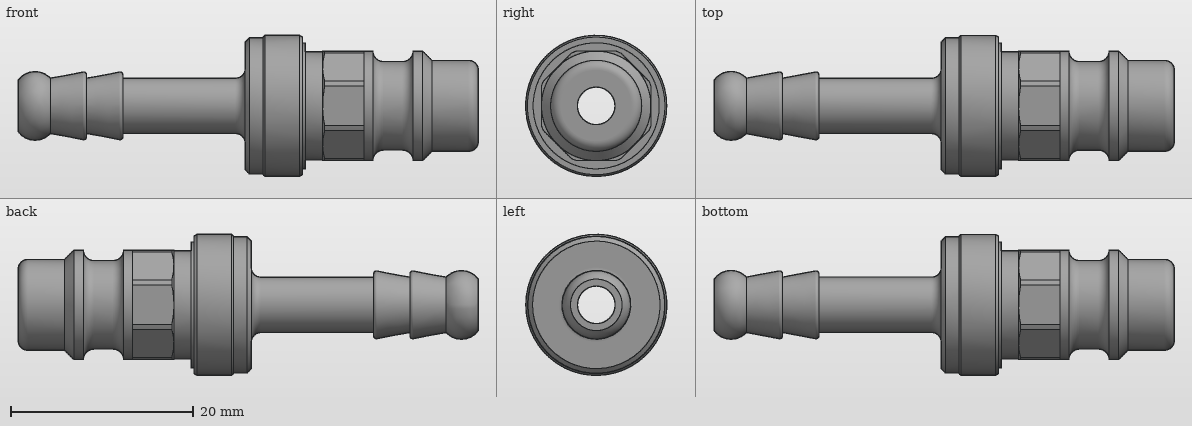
import cadquery as cq
import math

total_length = 50.5
bore_radius = 4.1 / 2
joint_x = 26.85

tube_radius = 6.1 / 2
head_tip_radius = 2.85
head_radius = 3.8
barb_radius = 3.75
head_length = 3.55
barb_pitch = 4.0
barb_count = 2
barb_rounding = 0.35
flange_x = 24.9
flange_radius = 15.0 / 2
flange_chamfer = 0.5
tube_fillet = 1.0

collar_radius = 15.5 / 2
collar_front_chamfer = 0.2
collar_back_x = 31.2
collar_back_chamfer_length = 0.35
collar_back_chamfer_depth = 0.2
shoulder_radius = 13.85 / 2
shoulder_end_x = 31.5

neck_radius = 11.9 / 2
octagon_sides = 8
octagon_start_x = 33.4
octagon_end_x = 37.95
octagon_across_flats = 12.0
octagon_corner_radius = 6.39
octagon_lead_length = 0.25

ridge_radius = 12.0 / 2
groove_radius = 9.75 / 2
groove_start_x = 38.95
ridge_start_x = 43.35
ridge_end_x = 44.4
nose_radius = 10.0 / 2
nose_end_radius = 7.85 / 2


def revolve_about_x(profile):
    """Turn a closed half profile, with radius along Y, about the X axis."""
    return profile.close().revolve(360, (0, 0, 0), (1, 0, 0))


def make_hose_tail():
    """Barbed hose tail with an end flange and a through bore."""
    profile = (
        cq.Workplane("XY")
        .moveTo(0, bore_radius)
        .lineTo(0, head_tip_radius)
        .threePointArc((head_length / 2, head_radius), (head_length, tube_radius))
    )
    for index in range(barb_count):
        barb_end_x = head_length + (index + 1) * barb_pitch
        profile = (
            profile.lineTo(barb_end_x - barb_rounding, barb_radius)
            .radiusArc((barb_end_x, barb_radius - barb_rounding), barb_rounding)
            .lineTo(barb_end_x, tube_radius)
        )
    profile = (
        profile.lineTo(flange_x - tube_fillet, tube_radius)
        .radiusArc((flange_x, tube_radius + tube_fillet), -tube_fillet)
        .lineTo(flange_x, flange_radius - flange_chamfer)
        .lineTo(flange_x + flange_chamfer, flange_radius)
        .lineTo(joint_x, flange_radius)
        .lineTo(joint_x, bore_radius)
    )
    return revolve_about_x(profile)


def make_plug_turning():
    """Round portion of the plug, from the collar to the nose."""
    groove_fillet = ridge_radius - groove_radius
    nose_fillet = nose_radius - nose_end_radius
    ridge_chamfer = ridge_radius - nose_radius
    profile = (
        cq.Workplane("XY")
        .moveTo(joint_x, bore_radius)
        .lineTo(joint_x, collar_radius - collar_front_chamfer)
        .lineTo(joint_x + collar_front_chamfer, collar_radius)
        .lineTo(collar_back_x - collar_back_chamfer_length, collar_radius)
        .lineTo(collar_back_x, collar_radius - collar_back_chamfer_depth)
        .lineTo(collar_back_x, shoulder_radius)
        .lineTo(shoulder_end_x, shoulder_radius)
        .lineTo(shoulder_end_x, neck_radius)
        .lineTo(octagon_end_x, neck_radius)
        .lineTo(octagon_end_x, ridge_radius)
        .lineTo(groove_start_x, ridge_radius)
        .radiusArc((groove_start_x + groove_fillet, groove_radius), -groove_fillet)
        .lineTo(ridge_start_x - groove_fillet, groove_radius)
        .radiusArc((ridge_start_x, ridge_radius), -groove_fillet)
        .lineTo(ridge_end_x, ridge_radius)
        .lineTo(ridge_end_x + ridge_chamfer, nose_radius)
        .lineTo(total_length - nose_fillet, nose_radius)
        .radiusArc((total_length, nose_end_radius), nose_fillet)
        .lineTo(total_length, bore_radius)
    )
    return revolve_about_x(profile)


def make_wrench_octagon():
    """Octagonal ring with rounded corners and a conical lead at its start."""
    half_angle = math.pi / octagon_sides
    prism = (
        cq.Workplane("YZ")
        .workplane(offset=octagon_start_x)
        .polygon(octagon_sides, octagon_across_flats / math.cos(half_angle))
        .extrude(octagon_end_x - octagon_start_x)
        .rotate((0, 0, 0), (1, 0, 0), math.degrees(half_angle))
    )
    envelope = revolve_about_x(
        cq.Workplane("XY")
        .moveTo(octagon_start_x, bore_radius)
        .lineTo(octagon_start_x, neck_radius)
        .lineTo(octagon_start_x + octagon_lead_length, octagon_corner_radius)
        .lineTo(octagon_end_x, octagon_corner_radius)
        .lineTo(octagon_end_x, bore_radius)
    )
    return prism.intersect(envelope)


def make_coupling_plug():
    """Plug body with its collar, wrench octagon, locking groove and nose."""
    return make_plug_turning().union(make_wrench_octagon())


hose_tail = make_hose_tail()
coupling_plug = make_coupling_plug()

result = cq.Compound.makeCompound([hose_tail.val(), *coupling_plug.solids().vals()])